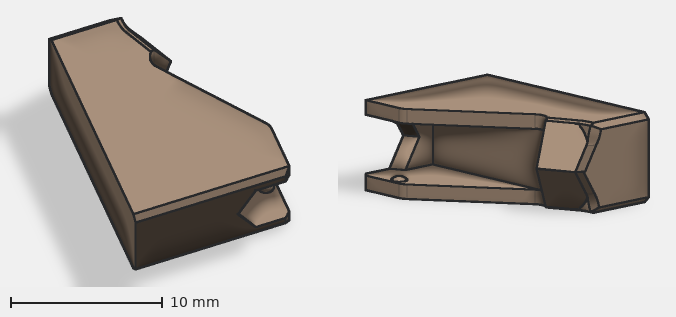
import cadquery as cq
import math

LENGTH = 16.0
DEPTH = 11.0
HEIGHT = 6.1
MID_Z = HEIGHT / 2
CHAMFER = 0.42
CLEAR = 6.4

NOSE_TIP = (2.78, 7.54)
NOSE_START = (0.29, 6.38)
NOSE_CORNER_Y = 5.9
NOSE_ANGLE = math.radians(25)
RAMP_ANGLE = math.radians(36.6)
RAMP_TOP_X = 12.03
BEND_RADIUS = 0.96

ROOF_HALF = 2.91
ROOF_DROP = 1.62
BEVEL_DROP = 0.34
LEDGE_Y = 5.28
ROOF_OVERRUN = 0.24
ROOF_FALL = ROOF_DROP / ROOF_HALF / math.cos(NOSE_ANGLE)

ROOT_X = 0.42
ROOT_Y = 8.06
ROOT_HALF = 1.76
ROOT_START = 2.78
ROOT_INNER = 3.09
ROOT_OUTER = 3.45

UPPER_CORNER_Y = 5.76
FRONT_BEND = 1.63
FRONT_SAG = 0.06

WALL = 1.0
POCKET_HALF = MID_Z - WALL
BACK_WALL = 1.04
BACK_VALLEY_Y = 6.74

BUMP_RADIUS = 0.72
BUMP_HEIGHT = 0.25
BUMP_X = 13.12
BUMP_Y = 10.29

ramp_slope = math.tan(RAMP_ANGLE)
nose_end_slope = -1 / math.tan(NOSE_ANGLE)
ramp_zero_y = DEPTH - ramp_slope * RAMP_TOP_X
notch_x = (NOSE_TIP[1] - nose_end_slope * NOSE_TIP[0] - ramp_zero_y) / (ramp_slope - nose_end_slope)
notch_y = ramp_zero_y + ramp_slope * notch_x

bisector = (math.pi / 2 + RAMP_ANGLE + NOSE_ANGLE) / 2
to_centre = BEND_RADIUS / math.sin((math.pi / 2 + NOSE_ANGLE - RAMP_ANGLE) / 2)
notch_floor_x = notch_x + to_centre * math.cos(bisector)
notch_floor_y = notch_y + to_centre * math.sin(bisector) - BEND_RADIUS


def bend(body, x, y):
    """Round the vertical plan corner at (x, y)."""
    return body.edges(cq.selectors.NearestToPointSelector((x, y, MID_Z))).fillet(BEND_RADIUS)


def make_block():
    outline = [
        (0, 0),
        (LENGTH, 0),
        (LENGTH, DEPTH - CHAMFER),
        (LENGTH - CHAMFER, DEPTH),
        (RAMP_TOP_X, DEPTH),
        (notch_x, notch_y),
        NOSE_TIP,
        NOSE_START,
        (0, NOSE_CORNER_Y),
    ]
    block = cq.Workplane("XY").polyline(outline).close().extrude(HEIGHT)
    block = bend(block, RAMP_TOP_X, DEPTH)
    block = bend(block, notch_x, notch_y)
    return block.faces("<X or >X").edges("|Y").chamfer(CHAMFER)


def travel_plane(start, angle, back=0):
    """Plane across a direction in plan: local X runs down -Z and local Y points away from the base."""
    along = cq.Vector(math.cos(angle), math.sin(angle), 0)
    origin = cq.Vector(start[0], start[1], MID_Z) - along * back
    return cq.Workplane(cq.Plane(origin=origin, xDir=(0, 0, -1), normal=along))


def prism(start, angle, profile, length, back=0):
    """Extrude a profile along a direction in plan, reaching back behind the start point."""
    return travel_plane(start, angle, back).polyline(profile).close().extrude(length + back)


def mirrored_profile(half):
    """Complete the right half of a profile and close it well above the part."""
    left = [(-z, y) for z, y in reversed(half) if z > 0]
    return [(-half[-1][0], CLEAR)] + left + half + [(half[-1][0], CLEAR)]


def cone(side, near, near_radius, far, far_radius):
    """Frustum about the root axis between two distances above (1) or below (-1) mid height."""
    plane = cq.Plane((ROOT_X, ROOT_Y, MID_Z + side * near), normal=(0, 0, side))
    base = cq.Workplane(plane).circle(near_radius)
    return base.workplane(offset=far - near).circle(far_radius).loft()


def root_cones(side):
    """Curved root of the nose and the bevel outside it, on one half of the part."""
    root = cone(side, ROOT_HALF, ROOT_START, ROOF_HALF, ROOT_INNER)
    return root.union(cone(side, ROOF_HALF, ROOT_INNER, MID_Z, ROOT_OUTER))


def roof_cutter():
    """V roof along the nose, stopped at a level ledge and a curved root, bevelled at both sides."""
    roof = mirrored_profile([(0, 0), (ROOF_HALF, -ROOF_DROP), (MID_Z, -ROOF_DROP - BEVEL_DROP)])
    nose_length = math.dist(NOSE_START, NOSE_TIP)
    sloped = prism(NOSE_START, NOSE_ANGLE, roof, nose_length + ROOF_OVERRUN, CLEAR)
    ledge = mirrored_profile([(0, 0), (ROOF_HALF, 0), (MID_Z, -BEVEL_DROP)])
    level = prism((0, LEDGE_Y), 0, ledge, CLEAR, CLEAR)
    return sloped.intersect(level.union(root_cones(1)).union(root_cones(-1)))


def nose_front_cutter(side, corner_y):
    """Bevel across the upper (1) or lower (-1) half of the nose front: half a V that levels out."""
    angle = math.atan2(NOSE_START[1] - corner_y, NOSE_START[0])
    slope = ROOF_FALL * math.cos(angle)
    bend_z = -side * FRONT_BEND
    edge_z = -side * MID_Z
    bend_drop = slope * FRONT_BEND
    edge_drop = bend_drop + slope * (MID_Z - FRONT_BEND) / 2
    arc_middle = ((bend_z + edge_z) / 2, -(bend_drop + edge_drop) / 2 - FRONT_SAG)
    outline = travel_plane((0, corner_y), angle, CLEAR).lineTo(bend_z, -bend_drop)
    outline = outline.threePointArc(arc_middle, (edge_z, -edge_drop))
    return outline.lineTo(edge_z, CLEAR).lineTo(0, CLEAR).close().extrude(2 * CLEAR)


def pocket_cutter():
    """Slot between the walls, ending at a back wall with a sloping V top."""
    back_x = LENGTH - BACK_WALL
    slot = cq.Workplane("XY").box(
        back_x - notch_floor_x, DEPTH, 2 * POCKET_HALF, centered=(False, False, True)
    ).translate((notch_floor_x, notch_floor_y, MID_Z))
    drop = POCKET_HALF * ROOF_FALL * math.cos(NOSE_ANGLE)
    valley = mirrored_profile([(0, 0), (POCKET_HALF, drop)])
    return slot.union(prism((back_x, BACK_VALLEY_Y), NOSE_ANGLE, valley, CLEAR, BACK_WALL))


def bump(side):
    """Domed bump on the upper (1) or lower (-1) inner wall face."""
    z = MID_Z + side * (POCKET_HALF + BUMP_RADIUS - BUMP_HEIGHT)
    ball = cq.Workplane("XY").sphere(BUMP_RADIUS).translate((BUMP_X, BUMP_Y, z))
    return ball.intersect(cq.Workplane("XY").box(LENGTH, DEPTH, HEIGHT, centered=False))


result = make_block()
result = result.cut(roof_cutter()).cut(pocket_cutter())
result = result.cut(nose_front_cutter(1, UPPER_CORNER_Y)).cut(nose_front_cutter(-1, NOSE_CORNER_Y))
for wall_side in (1, -1):
    result = result.union(bump(wall_side))